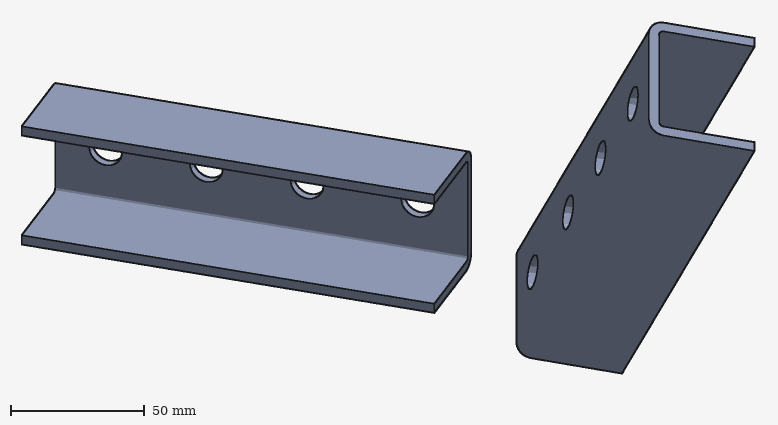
import cadquery as cq

length = 164.0
depth = 41.5
height = 50.0

thickness = 4.0
inner_radius = 2.0
outer_radius = inner_radius + thickness

hole_diameter = 13.0
end_distance = 20.0
hole_pitch = 40.0
hole_positions = [
    end_distance,
    end_distance + hole_pitch,
    end_distance + 2 * hole_pitch,
    length - end_distance,
]


def make_channel():
    """U-shaped channel with rounded bends, centred on the origin."""
    outer = cq.Workplane("XY").box(length, depth, height)
    outer = outer.edges("|X and >Y").fillet(outer_radius)
    inner = cq.Workplane("XY").box(length, depth, height - 2 * thickness)
    inner = inner.edges("|X and >Y").fillet(inner_radius)
    return outer.cut(inner.translate((0, -thickness, 0)))


def make_hole_cutters():
    """Cylinders along Y that pass through the web."""
    centres = [(x - length / 2, 0) for x in hole_positions]
    return (
        cq.Workplane("XZ")
        .pushPoints(centres)
        .circle(hole_diameter / 2)
        .extrude(-depth)
    )


result = make_channel().cut(make_hole_cutters())